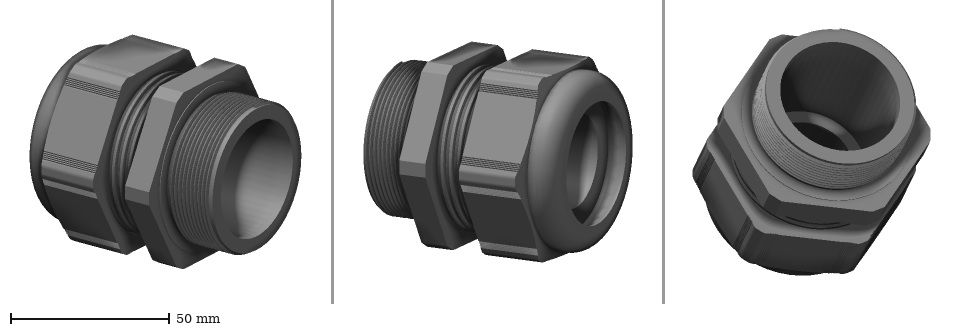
import cadquery as cq
import math


total_length = 70.5
hex_across_flats = 60.2

collar_diameter = 58.1
dome_radius = 6.1
collar_end = 9.1
cap_length = 31.1
cap_across_corners = 67.7
shoulder_end = 11.0
corner_fillet = 2.25

groove_count = 5
groove_pitch = 0.59
groove_depth = 0.295
groove_start = 10.7

mouth_diameter = 39.8
mouth_depth = 0.8
flare_end = 6.2
cap_bore_diameter = 53.3

nose_diameter = 45.1
nose_start = 7.75
neck_start = 12.7

neck_diameter = 51.0
coarse_crest_diameter = 53.0
coarse_length = 18.0
coarse_turns = 6
coarse_start = 26.85
coarse_root_width = 1.7
coarse_crest_width = 1.0

flange_start = 43.3
flange_end = 52.6
flange_across_corners = 66.9
ring_diameter = 55.6
ring_end = 52.9

entry_diameter = 48.15
entry_crest_diameter = 50.0
entry_length = 15.0
entry_turns = 10
entry_start = 54.6
entry_root_width = 1.05
entry_crest_width = 0.15

seal_bore_diameter = 31.0
seal_bore_end = 24.0
body_bore_diameter = 38.9

thread_embed = 0.2
fuse_tolerance = 0.0001


def cylinder(start, end, diameter):
    return cq.Workplane("YZ", origin=(start, 0, 0)).circle(diameter / 2).extrude(end - start)


def hexagon(start, end, across_flats, turn=0):
    """Hexagonal prism along X with flats facing +Z and -Z, turned about X by `turn` degrees."""
    corner_diameter = across_flats / math.cos(math.pi / 6)
    prism = cq.Workplane("YZ", origin=(start, 0, 0)).polygon(6, corner_diameter).extrude(end - start)
    return prism.rotate((0, 0, 0), (1, 0, 0), turn)


def cut_corner_hexagon(start, end, across_corners):
    """Hexagonal prism whose six corners are cut off flat."""
    corner_cutter = hexagon(start, end, across_corners, turn=30)
    return hexagon(start, end, hex_across_flats).intersect(corner_cutter)


def helical_ridge(start, length, turns, root_diameter, crest_diameter, root_width, crest_width):
    """Right-handed thread ridge about X, starting on the +Z side at X = start."""
    root_radius = root_diameter / 2
    crest_radius = crest_diameter / 2
    path = cq.Workplane(obj=cq.Wire.makeHelix(length / turns, length, root_radius))
    ridge = (
        cq.Workplane("XZ")
        .polyline([
            (root_radius - thread_embed, -root_width / 2),
            (root_radius, -root_width / 2),
            (crest_radius, -crest_width / 2),
            (crest_radius, crest_width / 2),
            (root_radius, root_width / 2),
            (root_radius - thread_embed, root_width / 2),
        ])
        .close()
        .sweep(path, isFrenet=True)
    )
    ridge = ridge.rotate((0, 0, 0), (0, 1, 0), 90)
    ridge = ridge.rotate((0, 0, 0), (1, 0, 0), 180)
    return ridge.translate((start, 0, 0))


def cap_blank():
    """Dome and collar, with the cone-shouldered hexagon behind them."""
    clear_radius = cap_across_corners
    dome = cylinder(0, collar_end, collar_diameter).faces("<X").edges().fillet(dome_radius)
    grip = cut_corner_hexagon(collar_end, cap_length, cap_across_corners)
    grip = grip.edges("|X").fillet(corner_fillet)
    shoulder = (
        cq.Workplane("XY")
        .moveTo(collar_end, 0)
        .lineTo(collar_end, collar_diameter / 2)
        .lineTo(shoulder_end, cap_across_corners / 2)
        .lineTo(shoulder_end, clear_radius)
        .lineTo(cap_length, clear_radius)
        .lineTo(cap_length, 0)
        .close()
        .revolve(360, (0, 0, 0), (1, 0, 0))
    )
    return dome.union(grip.intersect(shoulder))


def grip_grooves():
    """V-grooves beside the corners, on both ends of all six flats."""
    flat = hex_across_flats / 2
    cutters = []
    for index in range(groove_count):
        near_edge = groove_start + index * groove_pitch
        groove = (
            cq.Workplane("YZ", origin=(collar_end, 0, 0))
            .polyline([
                (near_edge, flat),
                (near_edge + groove_pitch / 2, flat - groove_depth),
                (near_edge + groove_pitch, flat),
            ])
            .close()
            .extrude(cap_length - collar_end)
        )
        for side in (groove, groove.mirror("XZ")):
            for flat_number in range(6):
                cutters.append(side.rotate((0, 0, 0), (1, 0, 0), 60 * flat_number).val())
    return cq.Workplane(obj=cq.Compound.makeCompound(cutters))


def cap_cavity():
    """Mouth, flared throat, seat for the body nose, and clearance bore over the coarse thread."""
    return (
        cq.Workplane("XY")
        .moveTo(0, 0)
        .lineTo(0, mouth_diameter / 2)
        .lineTo(mouth_depth, mouth_diameter / 2)
        .lineTo(flare_end, nose_diameter / 2)
        .lineTo(neck_start, nose_diameter / 2)
        .lineTo(neck_start, cap_bore_diameter / 2)
        .lineTo(cap_length, cap_bore_diameter / 2)
        .lineTo(cap_length, 0)
        .close()
        .revolve(360, (0, 0, 0), (1, 0, 0))
    )


def make_cap():
    return cap_blank().cut(grip_grooves()).cut(cap_cavity())


def make_body():
    body = cylinder(nose_start, neck_start, nose_diameter)
    body = body.union(cylinder(neck_start, flange_start, neck_diameter))
    body = body.union(cut_corner_hexagon(flange_start, flange_end, flange_across_corners))
    body = body.union(cylinder(flange_end, ring_end, ring_diameter))
    body = body.union(cylinder(ring_end, total_length, entry_diameter))
    coarse_thread = helical_ridge(
        coarse_start, coarse_length, coarse_turns,
        neck_diameter, coarse_crest_diameter, coarse_root_width, coarse_crest_width,
    )
    entry_thread = helical_ridge(
        entry_start, entry_length, entry_turns,
        entry_diameter, entry_crest_diameter, entry_root_width, entry_crest_width,
    )
    body = body.union(coarse_thread, tol=fuse_tolerance).union(entry_thread, tol=fuse_tolerance)
    body = body.cut(cylinder(nose_start, seal_bore_end, seal_bore_diameter))
    return body.cut(cylinder(seal_bore_end, total_length, body_bore_diameter))


cap = make_cap()
body = make_body()

result = cq.Compound.makeCompound([cap.solids().val(), body.solids().val()])